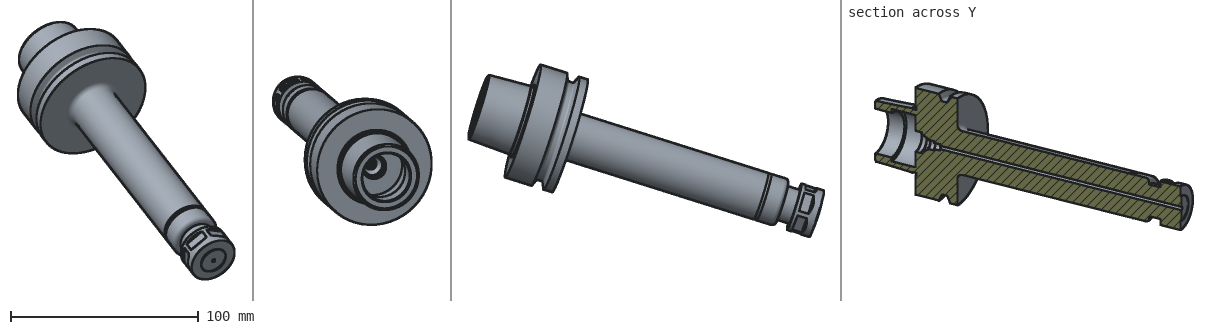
import cadquery as cq
import math

total_length = 190.0

shank_length = 25.0
shank_tip_diameter = 36.1
shank_base_diameter = 38.2
shank_tip_chamfer_length = 0.5
shank_tip_chamfer_depth = 1.1
relief_width = 1.9
relief_depth = 0.4
face_recess_diameter = 40.7
face_recess_depth = 0.5

flange_diameter = 63.0
flange_length = 26.2
groove_start = 39.7
groove_top_width = 6.8
groove_floor_diameter = 55.1
groove_wall_angle = 66.0
groove_floor_fillet = 1.0

body_diameter = 26.0
body_root_fillet = 2.8
body_end = 170.0
body_end_fillet = 2.3
mark_start = 158.3
mark_width = 1.7
mark_depth = 0.1

neck_diameter = 19.0
nut_start = 176.9
nut_end = 189.5
nut_chamfer_length_rear = 1.1
nut_chamfer_length_front = 0.5
nut_chamfer_depth = 0.1
collet_diameter = 14.6

flat_count = 6
flat_across = 23.8
flat_start = 179.2
flat_end = 184.3
flat_rear_lean = 0.2
flat_front_lean = 1.1

bore_diameter = 26.0
bore_mouth_diameter = 27.2
bore_mouth_chamfer = 0.5
clamp_seat_depth = 10.5
clamp_recess_diameter = 30.4
bore_depth = 25.0

socket_mouth_diameter = 13.0
socket_diameter = 12.0
socket_depth = 3.8
funnel_start_diameter = 10.5
funnel_end_diameter = 6.0
funnel_length = 3.8
passage_diameters = (5.1, 3.5)
passage_step_length = 3.8
through_diameter = 1.7

flange_end = shank_length + flange_length


def revolve_about_x(profile):
    """Turn a closed (X, radius) profile around the X axis."""
    return profile.close().revolve(360, (0, 0, 0), (1, 0, 0))


def make_turned_body():
    """Outer shape of shank, flange, body, neck, nut and collet tip."""
    shank_tip_radius = shank_tip_diameter / 2
    shank_base_radius = shank_base_diameter / 2
    flange_radius = flange_diameter / 2
    body_radius = body_diameter / 2
    nut_chamfer_radius = body_radius - nut_chamfer_depth
    relief_start = shank_length - relief_width
    profile = (
        cq.Workplane("XY")
        .lineTo(0, shank_tip_radius - shank_tip_chamfer_depth)
        .lineTo(shank_tip_chamfer_length, shank_tip_radius)
        .lineTo(relief_start, shank_base_radius)
        .lineTo(relief_start + relief_depth, shank_base_radius - relief_depth)
        .lineTo(shank_length + face_recess_depth, shank_base_radius - relief_depth)
        .lineTo(shank_length + face_recess_depth, face_recess_diameter / 2 - face_recess_depth)
        .lineTo(shank_length, face_recess_diameter / 2)
        .lineTo(shank_length, flange_radius)
        .lineTo(flange_end, flange_radius)
        .lineTo(flange_end, body_radius + body_root_fillet)
        .radiusArc((flange_end + body_root_fillet, body_radius), -body_root_fillet)
        .lineTo(body_end - body_end_fillet, body_radius)
        .radiusArc((body_end, body_radius - body_end_fillet), body_end_fillet)
        .lineTo(body_end, neck_diameter / 2)
        .lineTo(nut_start, neck_diameter / 2)
        .lineTo(nut_start, nut_chamfer_radius)
        .lineTo(nut_start + nut_chamfer_length_rear, body_radius)
        .lineTo(nut_end - nut_chamfer_length_front, body_radius)
        .lineTo(nut_end, nut_chamfer_radius)
        .lineTo(nut_end, collet_diameter / 2)
        .lineTo(total_length, collet_diameter / 2)
        .lineTo(total_length, 0)
    )
    return revolve_about_x(profile)


def make_gripper_groove():
    """Ring that cuts the V-shaped groove into the flange rim."""
    rim_radius = flange_diameter / 2
    floor_radius = groove_floor_diameter / 2
    wall_run = (rim_radius - floor_radius) / math.tan(math.radians(groove_wall_angle))
    groove_end = groove_start + groove_top_width
    ring = revolve_about_x(
        cq.Workplane("XY")
        .moveTo(groove_start, rim_radius)
        .lineTo(groove_start + wall_run, floor_radius)
        .lineTo(groove_end - wall_run, floor_radius)
        .lineTo(groove_end, rim_radius)
    )
    floor_edges = cq.selectors.RadiusNthSelector(0)
    return ring.edges("%CIRCLE").edges(floor_edges).fillet(groove_floor_fillet)


def make_mark_ring():
    """Shallow marking ring near the front end of the body."""
    outer_radius = body_diameter / 2
    return (
        cq.Workplane("YZ", origin=(mark_start, 0, 0))
        .circle(outer_radius)
        .circle(outer_radius - mark_depth)
        .extrude(mark_width)
    )


def make_spanner_flats():
    """Flats around the nut, with end walls that open outward."""
    floor_distance = flat_across / 2
    rim_distance = body_diameter / 2
    flat = (
        cq.Workplane("XY")
        .polyline([
            (flat_start, floor_distance),
            (flat_start - flat_rear_lean, rim_distance),
            (flat_end + flat_front_lean, rim_distance),
            (flat_end, floor_distance),
        ])
        .close()
        .extrude(floor_distance, both=True)
    )
    flats = cq.Workplane("XY")
    for index in range(flat_count):
        flats = flats.add(flat.rotate((0, 0, 0), (1, 0, 0), index * 360 / flat_count))
    return flats.combine()


def make_clamping_bore():
    """Bore with a chamfered mouth that widens behind its clamping seat."""
    bore_radius = bore_diameter / 2
    recess_radius = clamp_recess_diameter / 2
    profile = (
        cq.Workplane("XY")
        .lineTo(0, bore_mouth_diameter / 2)
        .lineTo(bore_mouth_chamfer, bore_radius)
        .lineTo(clamp_seat_depth, bore_radius)
        .lineTo(clamp_seat_depth, recess_radius)
        .lineTo(bore_depth, recess_radius)
        .lineTo(bore_depth, 0)
    )
    return revolve_about_x(profile)


def make_coolant_passage():
    """Socket, funnel and narrowing steps that end in a small hole through the part."""
    socket_radius = socket_diameter / 2
    mouth_chamfer = socket_mouth_diameter / 2 - socket_radius
    socket_end = bore_depth + socket_depth
    step_start = socket_end + funnel_length
    profile = (
        cq.Workplane("XY")
        .moveTo(bore_depth, 0)
        .lineTo(bore_depth, socket_mouth_diameter / 2)
        .lineTo(bore_depth + mouth_chamfer, socket_radius)
        .lineTo(socket_end, socket_radius)
        .lineTo(socket_end, funnel_start_diameter / 2)
        .lineTo(step_start, funnel_end_diameter / 2)
    )
    for diameter in passage_diameters:
        step_end = step_start + passage_step_length
        profile = profile.lineTo(step_start, diameter / 2).lineTo(step_end, diameter / 2)
        step_start = step_end
    profile = (
        profile
        .lineTo(step_start, through_diameter / 2)
        .lineTo(total_length, through_diameter / 2)
        .lineTo(total_length, 0)
    )
    return revolve_about_x(profile)


result = make_turned_body()
result = result.cut(make_gripper_groove())
result = result.cut(make_mark_ring())
result = result.cut(make_spanner_flats())
result = result.cut(make_clamping_bore())
result = result.cut(make_coolant_passage())